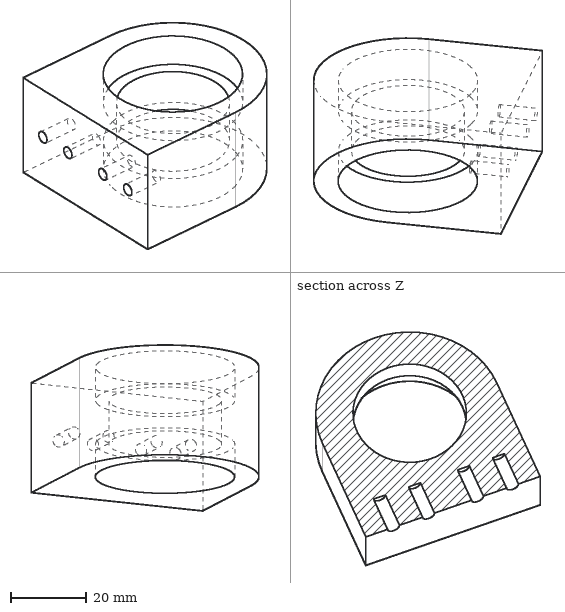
import cadquery as cq

length = 56.0
height = 30.0
width = 50.0
back_radius = width / 2

bore_diameter = 30.0
seat_diameter = 37.0
seat_depth = 9.0

hole_diameter = 3.3
hole_depth = 10.0
inner_hole_offset = 7.0
outer_hole_offset = 17.0

front_y = back_radius - length


def make_body():
    return (
        cq.Workplane("XY")
        .moveTo(-back_radius, front_y)
        .lineTo(back_radius, front_y)
        .lineTo(back_radius, 0)
        .threePointArc((0, back_radius), (-back_radius, 0))
        .close()
        .extrude(height)
    )


def make_bore():
    """Through bore with an equal bearing seat at each end."""
    bore = cq.Workplane("XY").circle(bore_diameter / 2).extrude(height)
    for seat_bottom in (0, height - seat_depth):
        seat = (
            cq.Workplane("XY", origin=(0, 0, seat_bottom))
            .circle(seat_diameter / 2)
            .extrude(seat_depth)
        )
        bore = bore.union(seat)
    return bore


def make_front_holes():
    """Flat-bottomed blind holes at mid height, mirrored about the centre plane."""
    centres = [
        (side * offset, 0)
        for side in (-1, 1)
        for offset in (inner_hole_offset, outer_hole_offset)
    ]
    return (
        cq.Workplane("XZ", origin=(0, front_y, height / 2))
        .pushPoints(centres)
        .circle(hole_diameter / 2)
        .extrude(-hole_depth)
    )


result = make_body().cut(make_bore()).cut(make_front_holes())